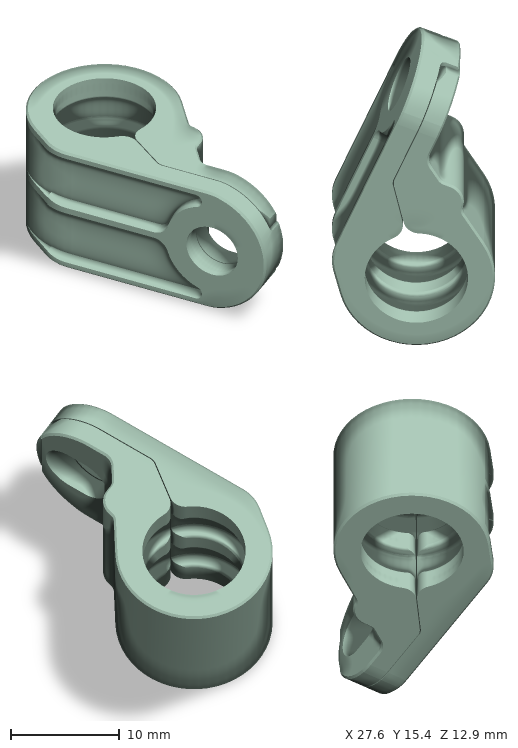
import cadquery as cq
import math


LENGTH = 27.62
HEIGHT = 12.9
EDGE_CHAMFER = 0.2

RING_RADIUS = 7.25
BORE_RADIUS = 4.75
GROOVE_RADIUS = 5.9
GROOVE_WIDTH = 3.05
GROOVE_ROUND = 0.3
BORE_LIP = 2.3

FRONT_Y = -8.1
LUG_THICKNESS = 4.12
REAR_NORMAL = 36.0
FRONT_NORMAL = 232.6
FRONT_BEND_RADIUS = 4.0
REAR_BEND_RADIUS = 1.5
BUMP_X, BUMP_Y, BUMP_RADIUS = 8.3, -0.97, 2.0
BUMP_BLEND = 1.0

END_RADIUS = 6.52
END_BLEND = 4.7

SLIT_WIDTH = 0.1
SLIT_BEND_X = 8.48
SLIT_RUN = 5.95
SLIT_ANGLE = 36.0
FRONT_LEAF = 2.05
SLIT_BEND_RADIUS = 1.2
SLIT_MOUTH_ROUND = 1.5

LIP_THICKNESS = 0.83
LIP_WIDTH = 4.7
LIP_GAP = 0.05
LIP_ROOT_ROUND = 0.5
LIP_HEIGHT = 3.9
NOSE_LENGTH, NOSE_DEPTH = 0.83, 0.6

SCREW_X = 14.91
SCREW_RADIUS = 2.62
SCREW_TILT = 37.0

POCKET_DEPTH = 1.13
POCKET_DRAFT = 11.0
POCKET_LOW, POCKET_HIGH = 0.52, 5.58
BOSS_RADIUS = 4.97
RIB_ROUND = 1.33
TIP_ROUND = 0.45
WRAP_LOW, WRAP_HIGH = 0.35, 5.63
WRAP_X = -2.2
WRAP_RADIUS = 7.7

HALF = HEIGHT / 2
END_X = LENGTH - RING_RADIUS
REAR_Y = FRONT_Y + LUG_THICKNESS
SLIT_Y = FRONT_Y + FRONT_LEAF + SLIT_WIDTH / 2
LIP_X = END_X - LIP_THICKNESS
LEAF_X = LIP_X - LIP_GAP
LIP_TOP = FRONT_Y + LIP_HEIGHT


def polar(radius, degrees, centre=(0, 0)):
    a = math.radians(degrees)
    return (centre[0] + radius * math.cos(a), centre[1] + radius * math.sin(a))


def plate(sketch):
    """Extrude an XY outline over the full height, centred on Z = 0."""
    return sketch.extrude(HALF, both=True)


def round_upright(body, point, radius):
    """Fillet the edge along Z that passes closest to an XY point."""
    near = cq.NearestToPointSelector((point[0], point[1], 0))
    return body.edges("|Z").edges(near).fillet(radius)


def flank_x(normal, y):
    """X at height y of the flank tangent to the ring with the given normal."""
    a = math.radians(normal)
    return (RING_RADIUS - y * math.sin(a)) / math.cos(a)


def flank_y(normal, x):
    """Y at position x of the flank tangent to the ring with the given normal."""
    a = math.radians(normal)
    return (RING_RADIUS - x * math.cos(a)) / math.sin(a)


def outline_body():
    front_corner = (flank_x(FRONT_NORMAL, FRONT_Y), FRONT_Y)
    rear_corner = (flank_x(REAR_NORMAL, REAR_Y), REAR_Y)
    bump_side = BUMP_X + BUMP_RADIUS
    bump_foot = (bump_side, flank_y(REAR_NORMAL, bump_side))

    n = math.radians(REAR_NORMAL)
    depth = RING_RADIUS - BUMP_X * math.cos(n) - BUMP_Y * math.sin(n)
    opening = math.degrees(math.acos(depth / BUMP_RADIUS))
    bump_head = polar(BUMP_RADIUS, REAR_NORMAL + opening, (BUMP_X, BUMP_Y))

    web = [
        (0, 0),
        polar(RING_RADIUS, FRONT_NORMAL),
        front_corner,
        (END_X, FRONT_Y),
        (END_X, REAR_Y),
        rear_corner,
        polar(RING_RADIUS, REAR_NORMAL),
    ]
    bump_block = [
        (BUMP_X, BUMP_Y),
        (bump_side, BUMP_Y),
        bump_foot,
        (BUMP_X, bump_foot[1]),
    ]
    body = plate(cq.Workplane("XY").polyline(web).close())
    body = body.union(plate(cq.Workplane("XY").circle(RING_RADIUS)))
    body = round_upright(body, front_corner, FRONT_BEND_RADIUS)
    body = round_upright(body, rear_corner, REAR_BEND_RADIUS)
    body = body.union(plate(cq.Workplane("XY").center(BUMP_X, BUMP_Y).circle(BUMP_RADIUS)))
    body = body.union(plate(cq.Workplane("XY").polyline(bump_block).close()))
    body = round_upright(body, bump_head, BUMP_BLEND)
    return round_upright(body, bump_foot, BUMP_BLEND)


def lug_silhouette():
    """XZ silhouette: straight sides, then a blend into the large end arc."""
    end_centre = END_X - END_RADIUS
    blend_z = HALF - END_BLEND
    blend_x = end_centre + math.sqrt((END_RADIUS - END_BLEND) ** 2 - blend_z ** 2)
    join_angle = math.degrees(math.atan2(blend_z, blend_x - end_centre))
    join = polar(END_RADIUS, join_angle, (end_centre, 0))
    middle = polar(END_BLEND, (90 + join_angle) / 2, (blend_x, blend_z))
    return (
        cq.Workplane("XZ")
        .moveTo(-LENGTH, HALF)
        .lineTo(blend_x, HALF)
        .threePointArc(middle, join)
        .threePointArc((END_X, 0), (join[0], -join[1]))
        .threePointArc((middle[0], -middle[1]), (blend_x, -HALF))
        .lineTo(-LENGTH, -HALF)
        .close()
        .extrude(LENGTH, both=True)
    )


def slit():
    half = SLIT_WIDTH / 2
    shift = half * math.tan(math.radians(SLIT_ANGLE / 2))
    start = polar(SLIT_RUN, 180 - SLIT_ANGLE, (SLIT_BEND_X, SLIT_Y))
    upper_bend = (SLIT_BEND_X + shift, SLIT_Y + half)
    lower_bend = (SLIT_BEND_X - shift, SLIT_Y - half)
    points = [
        polar(half, 90 - SLIT_ANGLE, start),
        upper_bend,
        (LEAF_X, SLIT_Y + half),
        (LEAF_X, SLIT_Y - half),
        lower_bend,
        polar(half, 270 - SLIT_ANGLE, start),
    ]
    cutter = plate(cq.Workplane("XY").polyline(points).close())
    cutter = round_upright(cutter, upper_bend, SLIT_BEND_RADIUS)
    return round_upright(cutter, lower_bend, SLIT_BEND_RADIUS + SLIT_WIDTH)


def round_slit_mouth(body):
    """Fillet the two edges where the slit leaves the bore."""
    a = math.radians(SLIT_ANGLE)
    offset = SLIT_BEND_X * math.sin(a) + SLIT_Y * math.cos(a)
    along = math.degrees(math.asin(offset / BORE_RADIUS))
    x, y = polar(BORE_RADIUS, along - SLIT_ANGLE)
    both_edges = cq.selectors.BoxSelector(
        (x - SLIT_WIDTH, y - SLIT_WIDTH, -HALF), (x + SLIT_WIDTH, y + SLIT_WIDTH, HALF)
    )
    return body.edges("|Z").edges(both_edges).fillet(SLIT_MOUTH_ROUND)


def lip_clearance():
    """Void around the hook lip, with the bevelled nose of the rear leaf."""
    low, high = SLIT_Y - SLIT_WIDTH / 2, SLIT_Y + SLIT_WIDTH / 2
    points = [
        (LEAF_X - NOSE_LENGTH, low),
        (LENGTH, low),
        (LENGTH, 0),
        (LEAF_X, 0),
        (LEAF_X, high + NOSE_DEPTH),
        (LEAF_X - NOSE_LENGTH, high),
    ]
    void = plate(cq.Workplane("XY").polyline(points).close())
    lip = (
        cq.Workplane("XY")
        .rect(LENGTH - LIP_X, LIP_TOP - low, centered=False)
        .extrude(LIP_WIDTH / 2, both=True)
        .translate((LIP_X, low, 0))
    )
    root = cq.selectors.BoxSelector(
        (LEAF_X, low - LIP_GAP, -LIP_WIDTH / 2 - LIP_GAP),
        (LENGTH - LIP_GAP, low + LIP_GAP, LIP_WIDTH / 2 + LIP_GAP),
    )
    return void.cut(lip).edges(root).fillet(LIP_ROOT_ROUND)


def groove(z):
    """Rounded groove around the bore, centred at height z."""
    half = GROOVE_WIDTH / 2
    inner = BORE_RADIUS
    return (
        cq.Workplane("XZ")
        .moveTo(0, z - half - GROOVE_ROUND)
        .lineTo(inner, z - half - GROOVE_ROUND)
        .radiusArc((inner + GROOVE_ROUND, z - half), GROOVE_ROUND)
        .lineTo(GROOVE_RADIUS - GROOVE_ROUND, z - half)
        .radiusArc((GROOVE_RADIUS, z - half + GROOVE_ROUND), -GROOVE_ROUND)
        .lineTo(GROOVE_RADIUS, z + half - GROOVE_ROUND)
        .radiusArc((GROOVE_RADIUS - GROOVE_ROUND, z + half), -GROOVE_ROUND)
        .lineTo(inner + GROOVE_ROUND, z + half)
        .radiusArc((inner, z + half + GROOVE_ROUND), GROOVE_ROUND)
        .lineTo(0, z + half + GROOVE_ROUND)
        .close()
        .revolve(360, (0, 0, 0), (0, 1, 0))
    )


def screw_hole():
    """Straight hole whose +X side slopes outward through the rear leaf."""
    depth = REAR_Y - SLIT_Y
    spread = depth * math.tan(math.radians(SCREW_TILT))
    straight = (
        cq.Workplane("XZ", origin=(SCREW_X, REAR_Y, 0)).circle(SCREW_RADIUS).extrude(LUG_THICKNESS)
    )
    rim = cq.Wire.makeCircle(SCREW_RADIUS, cq.Vector(SCREW_X, SLIT_Y, 0), cq.Vector(0, 1, 0))
    tilted = cq.Solid.extrudeLinear(rim, [], cq.Vector(spread, depth, 0))
    between = (
        cq.Workplane("XY")
        .polyline([(SCREW_X, SLIT_Y), (SCREW_X + spread, REAR_Y), (SCREW_X, REAR_Y)])
        .close()
        .extrude(SCREW_RADIUS, both=True)
    )
    return straight.union(cq.Workplane(tilted)).union(between)


def round_beside_boss(z, radius):
    """Centre of an arc at height z that touches the screw boss from the left."""
    reach = BOSS_RADIUS + radius
    centre = (SCREW_X - math.sqrt(reach ** 2 - z ** 2), z)
    angle = math.degrees(math.atan2(z, centre[0] - SCREW_X))
    return centre, angle


def front_pocket():
    """Upper front pocket: drafted recess that wraps onto the ring's side."""
    floor_y = FRONT_Y + POCKET_DEPTH
    rib, rib_angle = round_beside_boss(POCKET_LOW + RIB_ROUND, RIB_ROUND)
    tip, tip_angle = round_beside_boss(POCKET_HIGH - TIP_ROUND, TIP_ROUND)
    boss = (SCREW_X, 0)

    def outline():
        return (
            cq.Workplane("XZ", origin=(0, floor_y, 0))
            .moveTo(WRAP_X, POCKET_LOW)
            .lineTo(rib[0], POCKET_LOW)
            .threePointArc(
                polar(RIB_ROUND, (rib_angle - 270) / 2, rib),
                polar(BOSS_RADIUS, rib_angle, boss),
            )
            .threePointArc(
                polar(BOSS_RADIUS, (rib_angle + tip_angle) / 2, boss),
                polar(BOSS_RADIUS, tip_angle, boss),
            )
            .threePointArc(
                polar(TIP_ROUND, (tip_angle - 90) / 2, tip),
                (tip[0], POCKET_HIGH),
            )
            .lineTo(WRAP_X, POCKET_HIGH)
            .close()
        )

    drafted = outline().extrude(2 * POCKET_DEPTH, taper=-POCKET_DRAFT)
    behind = outline().extrude(-POCKET_DEPTH)
    wrap = (
        cq.Workplane("XY", origin=(0, 0, WRAP_LOW))
        .moveTo(-RING_RADIUS, FRONT_Y)
        .lineTo(WRAP_X, FRONT_Y)
        .lineTo(WRAP_X, 0)
        .lineTo(-RING_RADIUS, 0)
        .close()
        .extrude(WRAP_HIGH - WRAP_LOW)
    )
    core = cq.Workplane("XY").center(0, floor_y + WRAP_RADIUS).circle(WRAP_RADIUS).extrude(HALF)
    flat_core = cq.Workplane("XY").rect(END_X, -floor_y, centered=False).extrude(HALF)
    core = core.union(flat_core.translate((0, floor_y, 0)))
    return drafted.union(behind).union(wrap).cut(core)


body = outline_body().intersect(lug_silhouette())
body = body.edges("not(|Y or |Z)").chamfer(EDGE_CHAMFER)

body = body.cut(plate(cq.Workplane("XY").circle(BORE_RADIUS))).cut(slit())
body = round_slit_mouth(body)
body = body.cut(lip_clearance())
lip_rim = cq.NearestToPointSelector((END_X, LIP_TOP, 0))
body = body.edges("not(|X or |Y or |Z)").edges(lip_rim).chamfer(EDGE_CHAMFER)

body = body.cut(screw_hole())
groove_z = HALF - BORE_LIP - GROOVE_WIDTH / 2
pocket = front_pocket()
for cutter in (groove(groove_z), groove(-groove_z), pocket, pocket.mirror("XY")):
    body = body.cut(cutter)

result = body